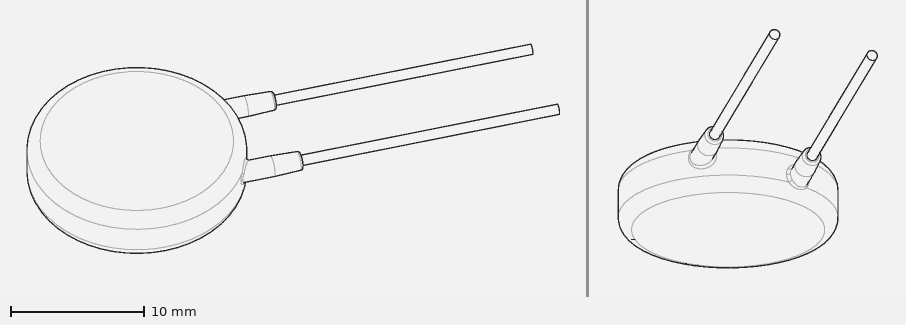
import cadquery as cq

disc_diameter = 16.5
disc_thickness = 4.2
disc_edge_radius = 1.0

lead_pitch = 7.5
lead_height_offset = 0.5
wire_diameter = 0.8
overall_length = 40.0
wire_end_y = overall_length - disc_diameter / 2

sleeve_diameter = 1.6
sleeve_tip_diameter = 1.44
sleeve_taper_start_y = 9.5
sleeve_end_y = 11.75
sleeve_edge_radius = 0.2
sleeve_root_radius = 0.2

root_selection_width = sleeve_diameter + sleeve_root_radius

lead_positions = [(side * lead_pitch / 2, side * lead_height_offset) for side in (-1, 1)]


def make_disc():
    disc = cq.Workplane("XY").circle(disc_diameter / 2).extrude(disc_thickness / 2, both=True)
    return disc.edges().fillet(disc_edge_radius)


def make_rod(x, z, diameter, end_y):
    """Round bar along Y from the disc's mid-plane y = 0 to end_y."""
    return cq.Workplane("XZ", origin=(x, 0, z)).circle(diameter / 2).extrude(-end_y)


def make_sleeve_tip(x, z):
    """Tapered end of a sleeve with a rounded outer edge."""
    tip = (
        cq.Workplane("XZ", origin=(x, sleeve_taper_start_y, z))
        .circle(sleeve_diameter / 2)
        .workplane(offset=sleeve_taper_start_y - sleeve_end_y)
        .circle(sleeve_tip_diameter / 2)
        .loft()
    )
    return tip.faces(">Y").edges().fillet(sleeve_edge_radius)


def blend_sleeve_root(body, x, z):
    """Small fillet where a straight sleeve meets the rim of the disc."""
    half_width = root_selection_width / 2
    root_box = cq.selectors.BoxSelector(
        (x - half_width, 0, z - half_width),
        (x + half_width, (disc_diameter / 2 + sleeve_taper_start_y) / 2, z + half_width),
        boundingbox=True,
    )
    return body.edges(root_box).fillet(sleeve_root_radius)


result = make_disc()
for lead_x, lead_z in lead_positions:
    result = result.union(make_rod(lead_x, lead_z, sleeve_diameter, sleeve_taper_start_y))
    result = blend_sleeve_root(result, lead_x, lead_z)
    result = result.union(make_sleeve_tip(lead_x, lead_z))
    result = result.union(make_rod(lead_x, lead_z, wire_diameter, wire_end_y))